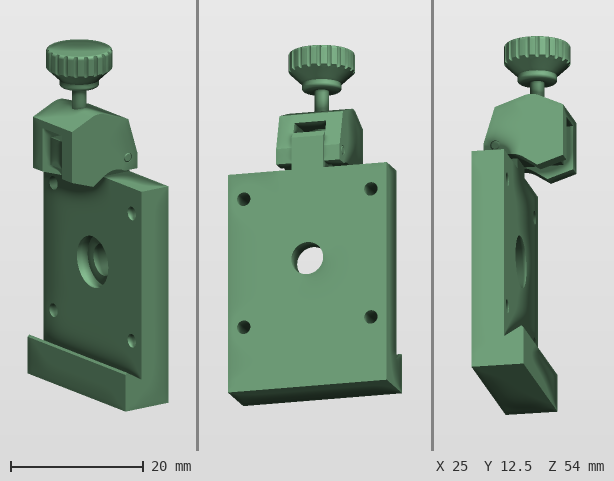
import cadquery as cq
import math

plate_width = 25.0
plate_height = 34.0
plate_thickness = 5.0

lip_depth = 8.0
lip_root_z = 4.5
lip_angle = 30.0
lip_edge_chamfer = 0.3
lip_crest_y = lip_depth - lip_edge_chamfer
lip_crest_z = lip_root_z + (lip_crest_y - plate_thickness) * math.tan(math.radians(lip_angle))

bore_z = 20.0
bore_diameter = 5.0
counterbore_diameter = 8.0
counterbore_depth = 2.0
mount_hole_diameter = 2.1
mount_hole_spacing = 20.0

tongue_width = 5.0
tongue_top_z = 40.0
tongue_reach = 11.0
tongue_underside_z = 35.67
tongue_chamfer = 1.0

arm_width = 10.0
arm_back = 0.3
arm_front = 12.5
arm_heel_z = 35.1
arm_back_bend_z = 37.5
arm_shoulder_back = 2.0
arm_shoulder_z = 43.1
arm_peak = 7.66
arm_peak_z = 45.05
arm_peak_radius = 3.0
arm_front_top_z = 42.9
arm_front_bottom_z = 34.9
arm_jaw = 8.55
arm_jaw_z = 33.6
arm_slot_top_z = 41.7

hollow_start = 2.63
hollow_crest = 4.4
hollow_crest_z = 35.57
hollow_end = 6.4
hollow_end_z = 34.98

pin_diameter = 1.5
pin_back = 2.05
pin_z = 37.05
pin_chamfer = 0.2

screw_back = 7.5
screw_top_z = 54.03
screw_shank_radius = 1.1
screw_tip_radius = 1.6
screw_tip_z = 40.6
screw_tip_chamfer = 0.5
knob_radius = 5.0
knob_rim_height = 3.0
knob_height = 6.0
knob_neck_radius = 3.0
knob_neck_height = 1.1
knob_edge_fillet = 0.5
neck_edge_fillet = 0.5
knob_bottom_z = screw_top_z - knob_height
knob_rim_bottom_z = screw_top_z - knob_rim_height
neck_top_z = knob_bottom_z + knob_neck_height

groove_count = 20
groove_radius = 0.35
groove_start_angle = -60.0


def side_profile():
    """Sketch plane at X = 0 whose first axis is the distance forward of the back face."""
    return cq.Workplane(cq.Plane(origin=(0, 0, 0), xDir=(0, -1, 0), normal=(-1, 0, 0)))


def pin_cylinder():
    """Cylinder on the hinge axis, as long as the arm is wide."""
    return side_profile().center(pin_back, pin_z).circle(pin_diameter / 2).extrude(arm_width / 2, both=True)


def shank_cylinder():
    """Screw shank between the underside of the knob and the roof of the arm slot."""
    return (
        cq.Workplane("XY", origin=(0, -screw_back, arm_slot_top_z))
        .circle(screw_shank_radius)
        .extrude(knob_bottom_z - arm_slot_top_z)
    )


def front_cylinder(diameter, depth, x, z):
    """Cylinder that goes into the plate from its front face."""
    return (
        cq.Workplane("XZ", origin=(x, -plate_thickness, z))
        .circle(diameter / 2)
        .extrude(-depth)
    )


def make_plate():
    body = (
        side_profile()
        .polyline([
            (0, 0),
            (lip_depth, 0),
            (lip_depth, lip_crest_z - lip_edge_chamfer),
            (lip_crest_y, lip_crest_z),
            (plate_thickness, lip_root_z),
            (plate_thickness, plate_height),
            (0, plate_height),
        ])
        .close()
        .extrude(plate_width / 2, both=True)
    )
    tongue = (
        side_profile()
        .polyline([
            (0, plate_height),
            (plate_thickness, plate_height),
            (plate_thickness, tongue_underside_z),
            (tongue_reach, tongue_underside_z),
            (tongue_reach, tongue_top_z),
            (tongue_chamfer, tongue_top_z),
            (0, tongue_top_z - tongue_chamfer),
        ])
        .close()
        .extrude(tongue_width / 2, both=True)
    )
    body = body.union(tongue).cut(pin_cylinder())

    body = body.cut(front_cylinder(bore_diameter, plate_thickness, 0, bore_z))
    body = body.cut(front_cylinder(counterbore_diameter, counterbore_depth, 0, bore_z))
    for x_side in (-1, 1):
        for z_side in (-1, 1):
            x = x_side * mount_hole_spacing / 2
            z = bore_z + z_side * mount_hole_spacing / 2
            body = body.cut(front_cylinder(mount_hole_diameter, plate_thickness, x, z))
    return body


def make_arm():
    body = (
        side_profile()
        .moveTo(arm_back, arm_heel_z)
        .lineTo(hollow_start, arm_heel_z)
        .threePointArc((hollow_crest, hollow_crest_z), (hollow_end, hollow_end_z))
        .lineTo(arm_jaw, arm_jaw_z)
        .lineTo(arm_front, arm_front_bottom_z)
        .lineTo(arm_front, arm_front_top_z)
        .lineTo(arm_peak, arm_peak_z)
        .lineTo(arm_shoulder_back, arm_shoulder_z)
        .lineTo(arm_back, arm_back_bend_z)
        .close()
        .extrude(arm_width / 2, both=True)
    )
    body = body.edges(cq.selectors.NearestToPointSelector((0, -arm_peak, arm_peak_z))).fillet(arm_peak_radius)

    slot = (
        cq.Workplane("XY")
        .box(tongue_width, arm_front, arm_slot_top_z, centered=(True, False, False))
        .translate((0, -arm_front, 0))
    )
    return body.cut(slot).cut(pin_cylinder()).cut(shank_cylinder())


def make_pin():
    return pin_cylinder().faces("<X or >X").chamfer(pin_chamfer)


def make_thumb_screw():
    knob = (
        cq.Workplane("XZ")
        .polyline([
            (0, knob_bottom_z),
            (knob_neck_radius, knob_bottom_z),
            (knob_neck_radius, neck_top_z),
            (knob_radius, knob_rim_bottom_z),
            (knob_radius, screw_top_z),
            (0, screw_top_z),
        ])
        .close()
        .revolve(360, (0, 0, 0), (0, 1, 0))
    )
    knob = knob.faces(">Z").edges().fillet(knob_edge_fillet)
    knob = knob.faces("<Z").edges().fillet(neck_edge_fillet)

    grooves = (
        cq.Workplane("XY", origin=(0, 0, knob_bottom_z))
        .polarArray(knob_radius, groove_start_angle, 360, groove_count)
        .circle(groove_radius)
        .extrude(knob_height)
    )
    knob = knob.cut(grooves).translate((0, -screw_back, 0))

    tip = (
        cq.Workplane("XY", origin=(0, -screw_back, screw_tip_z))
        .circle(screw_tip_radius)
        .extrude(arm_slot_top_z - screw_tip_z)
        .faces("<Z")
        .chamfer(screw_tip_chamfer)
    )
    return knob.union(shank_cylinder()).union(tip)


plate = make_plate()
arm = make_arm()
pin = make_pin()
thumb_screw = make_thumb_screw()

result = cq.Compound.makeCompound([plate.val(), arm.val(), pin.val(), thumb_screw.val()])